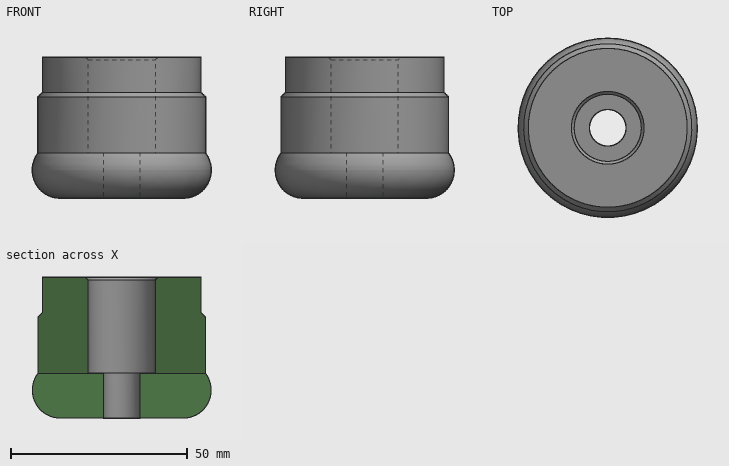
import cadquery as cq
import math

foot_diameter = 50.8
edge_radius = 8.0
screw_hole_diameter = 10.3

total_height = 40.0
body_diameter = 47.6
collar_diameter = 45.0
collar_height = 10.0
bore_diameter = 19.0
bore_chamfer = 0.8

foot_radius = foot_diameter / 2
body_radius = body_diameter / 2
collar_radius = collar_diameter / 2
bore_radius = bore_diameter / 2
screw_hole_radius = screw_hole_diameter / 2
shoulder_z = total_height - collar_height
shoulder_chamfer = body_radius - collar_radius

edge_center_radius = foot_radius - edge_radius
edge_center_z = edge_radius
joint_z = edge_center_z + math.sqrt(edge_radius**2 - (body_radius - edge_center_radius) ** 2)


def revolve_about_z(profile):
    return profile.revolve(360, (0, 0, 0), (0, 1, 0))


def make_foot():
    diagonal = edge_radius * math.sqrt(0.5)
    upper_angle = math.asin((joint_z - edge_center_z) / edge_radius) / 2
    upper_mid = (
        edge_center_radius + edge_radius * math.cos(upper_angle),
        edge_center_z + edge_radius * math.sin(upper_angle),
    )
    profile = (
        cq.Workplane("YZ")
        .moveTo(screw_hole_radius, 0)
        .lineTo(edge_center_radius, 0)
        .threePointArc(
            (edge_center_radius + diagonal, edge_center_z - diagonal),
            (foot_radius, edge_center_z),
        )
        .threePointArc(upper_mid, (body_radius, joint_z))
        .lineTo(screw_hole_radius, joint_z)
        .close()
    )
    return revolve_about_z(profile)


def make_sleeve():
    profile = (
        cq.Workplane("YZ")
        .moveTo(bore_radius, joint_z)
        .lineTo(body_radius, joint_z)
        .lineTo(body_radius, shoulder_z - shoulder_chamfer)
        .lineTo(collar_radius, shoulder_z)
        .lineTo(collar_radius, total_height)
        .lineTo(bore_radius + bore_chamfer, total_height)
        .lineTo(bore_radius, total_height - bore_chamfer)
        .close()
    )
    return revolve_about_z(profile)


foot = make_foot()
sleeve = make_sleeve()

result = cq.Compound.makeCompound([foot.val(), sleeve.val()])